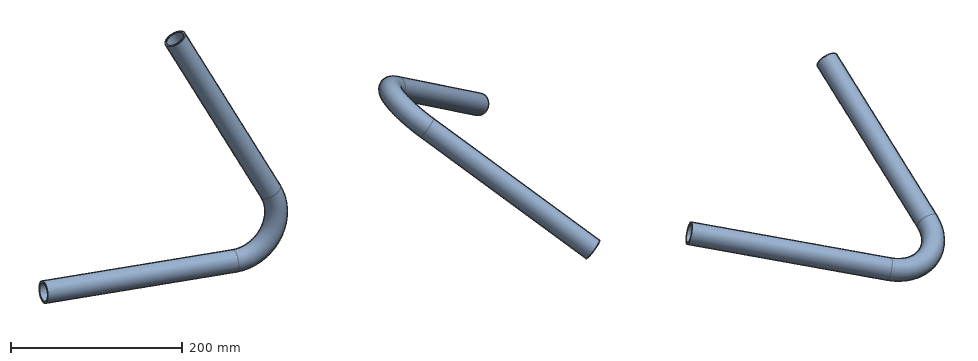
import cadquery as cq
import math

overall_depth = 310.8
overall_height = 312.0
outer_diameter = 26.8
inner_diameter = 22.0
bend_radius = 53.7
bend_angle = 120.0

outer_radius = outer_diameter / 2


def bend_point(degrees):
    """Centreline point (Y, Z) after turning through part of the bend, which starts at the origin."""
    turn = math.radians(degrees)
    return (bend_radius * math.sin(turn), bend_radius * (1 - math.cos(turn)))


level_leg_length = overall_depth - outer_radius - bend_radius
bend_end = bend_point(bend_angle)
rise_y = math.cos(math.radians(bend_angle))
rise_z = math.sin(math.radians(bend_angle))
tip_rise = outer_radius * abs(rise_y)
rising_leg_length = (overall_height - outer_radius - bend_end[1] - tip_rise) / rise_z
rising_leg_end = (
    bend_end[0] + rising_leg_length * rise_y,
    bend_end[1] + rising_leg_length * rise_z,
)

centreline = (
    cq.Workplane("YZ")
    .moveTo(-level_leg_length, 0)
    .lineTo(0, 0)
    .threePointArc(bend_point(bend_angle / 2), bend_end)
    .lineTo(*rising_leg_end)
)

result = (
    cq.Workplane("XZ", origin=(0, -level_leg_length, 0))
    .circle(outer_radius)
    .circle(inner_diameter / 2)
    .sweep(centreline)
)